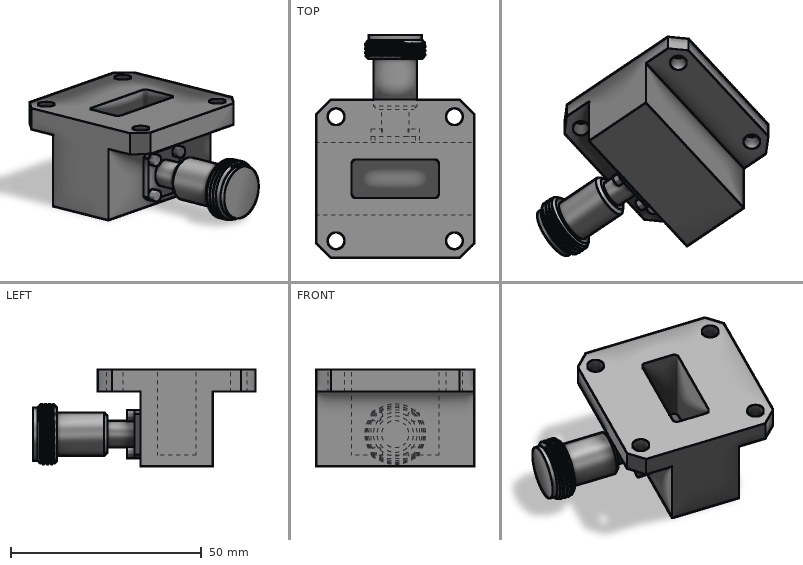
import cadquery as cq


FLANGE_SIDE = 41.4
FLANGE_THICKNESS = 5.84
FLANGE_CORNER_CHAMFER = 3.81
TOTAL_HEIGHT = 25.43
BODY_DEPTH = 19.0
BOLT_HOLE_DIAMETER = 4.32
BOLT_SPACING_X = 31.0
BOLT_SPACING_Y = 32.5

GUIDE_WIDTH = 22.86
GUIDE_HEIGHT = 10.16
GUIDE_CORNER_RADIUS = 1.2
FLOOR_THICKNESS = 3.0

AXIS_HEIGHT = 8.44
PLATE_SIDE = 12.7
PLATE_THICKNESS = 1.6
PLATE_CHAMFER = 1.05
SCREW_HEAD_DIAMETER = 3.0
SCREW_HEAD_HEIGHT = 1.95
SCREW_HEAD_FILLET = 0.15

NECK_DIAMETER = 7.11
BARREL_DIAMETER = 11.43
NOSE_DIAMETER = 13.97
BARREL_START = 18.1
BARREL_CHAMFER = 0.95
COLLAR_START = 31.35
NOSE_START = 36.4
CONNECTOR_END = 37.7

THREAD_DIAMETER = 15.875
THREAD_PITCH = 25.4 / 24
THREAD_DEPTH = 0.55
THREAD_CREST = THREAD_PITCH / 8
THREAD_CLEARANCE = 0.04
THREAD_OVERRUN = 0.4
THREAD_START_ANGLE = 10.0

body_face = BODY_DEPTH / 2
plate_face = body_face + PLATE_THICKNESS


def coax_cylinder(diameter, start, end):
    """Cylinder on the coax axis between two Y positions."""
    length = end - start
    return cq.Workplane("XY").circle(diameter / 2).extrude(length).translate((0, 0, start))


def place_on_axis(shape):
    """Turn a shape built along +Z so that it lies on the coax axis along +Y."""
    return shape.rotate((0, 0, 0), (1, 0, 0), -90).translate((0, 0, AXIS_HEIGHT))


def waveguide_body():
    """Square flange on a rectangular block, with the waveguide pocket and the bolt holes."""
    block = cq.Workplane("XY").box(FLANGE_SIDE, BODY_DEPTH, TOTAL_HEIGHT, centered=(True, True, False))
    flange = (
        cq.Workplane("XY", origin=(0, 0, TOTAL_HEIGHT - FLANGE_THICKNESS))
        .rect(FLANGE_SIDE, FLANGE_SIDE)
        .extrude(FLANGE_THICKNESS)
        .edges("|Z")
        .chamfer(FLANGE_CORNER_CHAMFER)
    )
    bolt_holes = (
        cq.Workplane("XY", origin=(0, 0, TOTAL_HEIGHT))
        .rect(BOLT_SPACING_X, BOLT_SPACING_Y, forConstruction=True)
        .vertices()
        .circle(BOLT_HOLE_DIAMETER / 2)
        .extrude(-FLANGE_THICKNESS)
    )
    guide = (
        cq.Workplane("XY", origin=(0, 0, FLOOR_THICKNESS))
        .rect(GUIDE_WIDTH, GUIDE_HEIGHT)
        .extrude(TOTAL_HEIGHT - FLOOR_THICKNESS)
        .edges("|Z")
        .fillet(GUIDE_CORNER_RADIUS)
    )
    return block.union(flange).cut(bolt_holes).cut(guide)


def mounting_plate():
    """Square plate with chamfered corners, held by four screw heads flush with its sides."""
    plate = (
        cq.Workplane("XY", origin=(0, 0, body_face))
        .rect(PLATE_SIDE, PLATE_SIDE)
        .extrude(PLATE_THICKNESS)
        .edges("|Z")
        .chamfer(PLATE_CHAMFER)
    )
    screw_spacing = PLATE_SIDE - SCREW_HEAD_DIAMETER
    screw_heads = (
        cq.Workplane("XY", origin=(0, 0, plate_face))
        .rect(screw_spacing, screw_spacing, forConstruction=True)
        .vertices()
        .circle(SCREW_HEAD_DIAMETER / 2)
        .extrude(SCREW_HEAD_HEIGHT)
        .faces(">Z")
        .edges()
        .fillet(SCREW_HEAD_FILLET)
    )
    return plate.union(screw_heads)


def thread_groove():
    """Helical V groove, longer than the collar at both ends."""
    length = NOSE_START - COLLAR_START + 2 * THREAD_OVERRUN
    root_radius = THREAD_DIAMETER / 2 - THREAD_DEPTH
    outer_radius = THREAD_DIAMETER / 2 + THREAD_CLEARANCE
    surface_half_width = (THREAD_PITCH - THREAD_CREST) / 2
    outer_half_width = surface_half_width * (THREAD_DEPTH + THREAD_CLEARANCE) / THREAD_DEPTH
    helix = cq.Wire.makeHelix(THREAD_PITCH, length, root_radius)
    return (
        cq.Workplane("XZ")
        .moveTo(root_radius, 0)
        .lineTo(outer_radius, outer_half_width)
        .lineTo(outer_radius, -outer_half_width)
        .close()
        .sweep(cq.Workplane(obj=helix), isFrenet=True)
        .rotate((0, 0, 0), (0, 0, 1), THREAD_START_ANGLE)
        .translate((0, 0, COLLAR_START - THREAD_OVERRUN))
    )


def threaded_collar():
    """Collar with 45 degree lead-ins at both ends and the coupling thread cut into it."""
    lead_in = (THREAD_DIAMETER - NOSE_DIAMETER) / 2
    collar = coax_cylinder(THREAD_DIAMETER, COLLAR_START, NOSE_START).faces("<Z or >Z").chamfer(lead_in)
    return collar.cut(thread_groove())


def connector():
    """Neck, barrel, threaded collar and nose of the coax connector."""
    neck = coax_cylinder(NECK_DIAMETER, plate_face, BARREL_START)
    barrel = coax_cylinder(BARREL_DIAMETER, BARREL_START, NOSE_START).faces("<Z").chamfer(BARREL_CHAMFER)
    nose = coax_cylinder(NOSE_DIAMETER, NOSE_START, CONNECTOR_END)
    return mounting_plate().union(neck).union(barrel).union(threaded_collar()).union(nose)


result = waveguide_body().union(place_on_axis(connector()))